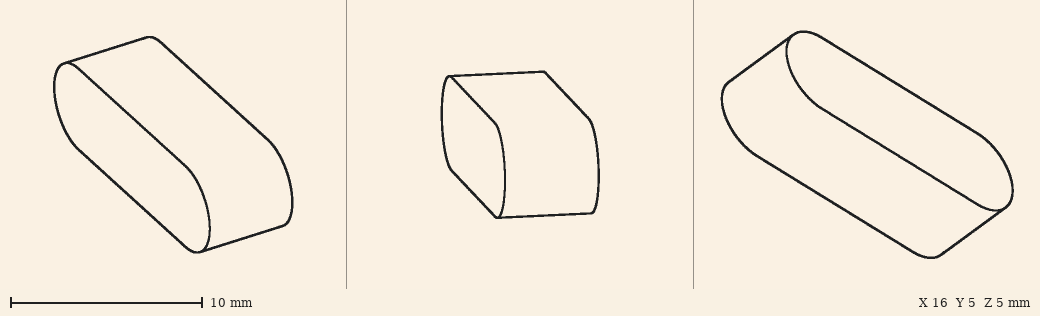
import cadquery as cq

length = 16.0
depth = 5.0
height = 5.0

result = cq.Workplane("XZ").slot2D(length, height).extrude(depth / 2, both=True)